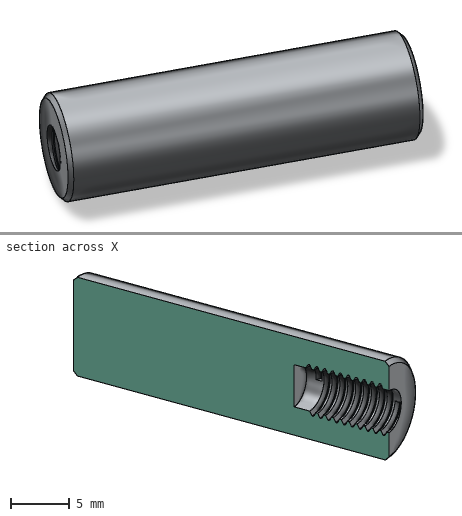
import cadquery as cq
import math

POST_DIAMETER = 9.525
POST_LENGTH = 31.75
END_CHAMFER = 0.4

MINOR_DIAMETER = 4.0
MAJOR_DIAMETER = 4.826
PITCH = 25.4 / 32
FLANK_ANGLE = 60.0
ROOT_FLAT = PITCH / 8
HOLE_DEPTH = 9.525
THREAD_TURNS = 10

FACE_CLEARANCE = 0.02
BORE_OVERLAP = 0.05

FRONT_Y = -POST_LENGTH / 2


def front_workplane():
    """Workplane on the -Y end, facing away from the post."""
    return cq.Workplane("XZ", origin=(0, FRONT_Y, 0))


def make_post():
    """Round post along Y, centred on the origin, chamfered at both ends."""
    post = front_workplane().circle(POST_DIAMETER / 2).extrude(-POST_LENGTH)
    return post.faces("<Y or >Y").chamfer(END_CHAMFER)


def make_bore():
    """Flat-bottomed minor-diameter bore entering from the -Y end."""
    return front_workplane().circle(MINOR_DIAMETER / 2).extrude(-HOLE_DEPTH)


def make_thread_cutter():
    """Right-hand helical V-groove with a flat root, starting on the +X side just behind the -Y end."""
    minor_radius = MINOR_DIAMETER / 2
    major_radius = MAJOR_DIAMETER / 2
    inner_radius = minor_radius - BORE_OVERLAP
    half_root = ROOT_FLAT / 2
    flank_slope = math.tan(math.radians(FLANK_ANGLE / 2))
    half_mouth = half_root + (major_radius - inner_radius) * flank_slope
    start_depth = half_mouth + FACE_CLEARANCE

    helix = cq.Wire.makeHelix(PITCH, PITCH * THREAD_TURNS, minor_radius)
    groove_profile = cq.Workplane("XZ").polyline([
        (inner_radius, start_depth - half_mouth),
        (major_radius, start_depth - half_root),
        (major_radius, start_depth + half_root),
        (inner_radius, start_depth + half_mouth),
    ]).close()
    groove = groove_profile.sweep(cq.Workplane(obj=helix), isFrenet=True)
    return groove.rotate((0, 0, 0), (1, 0, 0), -90).translate((0, FRONT_Y, 0))


result = make_post().cut(make_bore()).cut(make_thread_cutter())